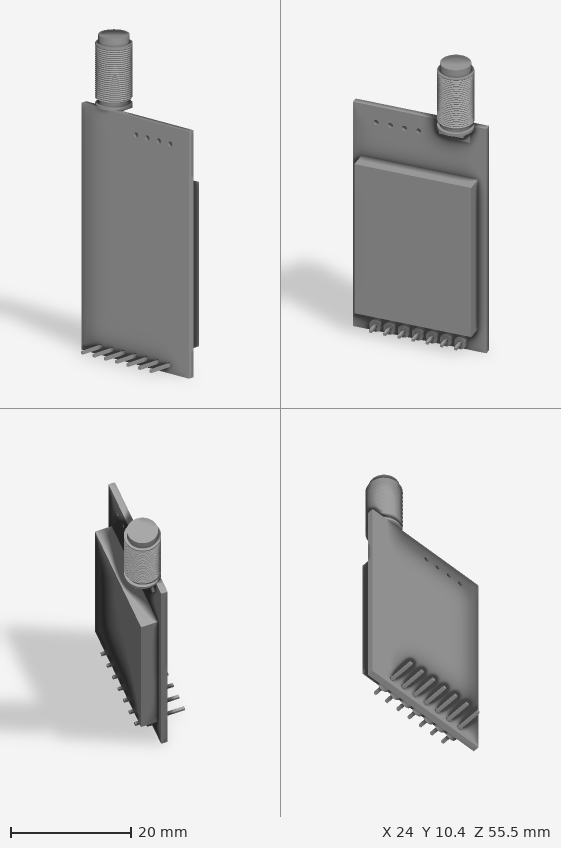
import cadquery as cq

BOARD_WIDTH = 24.0
BOARD_HEIGHT = 43.05
BOARD_THICKNESS = 1.15

SHIELD_WIDTH = 21.0
SHIELD_HEIGHT = 28.65
SHIELD_DEPTH = 3.0
SHIELD_BOTTOM = 4.4

PIN_COUNT = 7
PIN_SPAN = 15.25
PIN_PITCH = PIN_SPAN / (PIN_COUNT - 1)
PIN_SIDE = 0.5
PIN_LENGTH = 8.9
PIN_BACK = SHIELD_DEPTH
PIN_Z = 1.5
HOLE_DIAMETER = 0.9

COLLAR_DIAMETER = 2.15
COLLAR_FLAT_HEIGHT = 1.0
COLLAR_DEPTH = 1.05

TOP_HOLE_COUNT = 4
TOP_HOLE_CENTRE_X = 16.0
TOP_HOLE_Z = 40.0

CONNECTOR_X = 4.95
CONNECTOR_Y = 1.4
CONNECTOR_TOP = 55.5
CORE_DIAMETER = 5.2
FLANGE_DIAMETER = 6.2
FLANGE_THICKNESS = 0.5

THREAD_DIAMETER = FLANGE_DIAMETER
THREAD_ROOT_DIAMETER = 5.9
TIP_LENGTH = 1.45
THREAD_TOP = CONNECTOR_TOP - TIP_LENGTH
THREAD_LENGTH = 9.55
THREAD_BOTTOM = THREAD_TOP - THREAD_LENGTH
THREAD_TURNS = 27
THREAD_PITCH = THREAD_LENGTH / THREAD_TURNS
GROOVE_OVERRUN = 0.3
GROOVE_BOTTOM = THREAD_BOTTOM - GROOVE_OVERRUN

GROOVE_MOUTH_CLEARANCE = 0.03
GROOVE_MOUTH_RADIUS = THREAD_DIAMETER / 2 + GROOVE_MOUTH_CLEARANCE
GROOVE_MOUTH_HALF = 0.17
GROOVE_PROFILE = [
    (THREAD_ROOT_DIAMETER / 2, 0),
    (GROOVE_MOUTH_RADIUS, GROOVE_MOUTH_HALF),
    (GROOVE_MOUTH_RADIUS, -GROOVE_MOUTH_HALF),
]

BRACKET_WIDTH = 4.35
BRACKET_THICKNESS = 0.5
BRACKET_REACH = 3.55
BRACKET_HEIGHT = 3.0


def row_positions(count, centre, pitch):
    """X positions of a row of equally spaced features."""
    return [centre + (i - (count - 1) / 2) * pitch for i in range(count)]


PIN_XS = row_positions(PIN_COUNT, BOARD_WIDTH / 2, PIN_PITCH)
TOP_HOLE_XS = row_positions(TOP_HOLE_COUNT, TOP_HOLE_CENTRE_X, PIN_PITCH)


def block(width, depth, height, x, y, z):
    """Box whose lowest X, Y and Z corner is at (x, y, z)."""
    return cq.Workplane("XY").box(width, depth, height, centered=False).translate((x, y, z))


def rod_along_y(diameter, x, z, y_start, length):
    """Cylinder running in +Y from y_start."""
    return cq.Workplane("XZ", origin=(x, y_start, z)).circle(diameter / 2).extrude(-length)


def disc(diameter, bottom, top):
    """Cylinder on the connector axis."""
    start = cq.Workplane("XY", origin=(CONNECTOR_X, CONNECTOR_Y, bottom))
    return start.circle(diameter / 2).extrude(top - bottom)


def make_board():
    return block(BOARD_WIDTH, BOARD_THICKNESS, BOARD_HEIGHT, 0, -BOARD_THICKNESS, 0)


def make_shield():
    left = (BOARD_WIDTH - SHIELD_WIDTH) / 2
    return block(SHIELD_WIDTH, SHIELD_DEPTH, SHIELD_HEIGHT, left, 0, SHIELD_BOTTOM)


def make_collar(x):
    """Round collar with a flat on each side in X."""
    width = (COLLAR_DIAMETER**2 - COLLAR_FLAT_HEIGHT**2) ** 0.5
    envelope = block(
        width, COLLAR_DEPTH, COLLAR_DIAMETER, x - width / 2, 0, PIN_Z - COLLAR_DIAMETER / 2
    )
    return rod_along_y(COLLAR_DIAMETER, x, PIN_Z, 0, COLLAR_DEPTH).intersect(envelope)


def make_bracket():
    left = CONNECTOR_X - BRACKET_WIDTH / 2
    shelf = block(
        BRACKET_WIDTH, BRACKET_REACH, BRACKET_THICKNESS, left, 0, BOARD_HEIGHT - BRACKET_THICKNESS
    )
    leg = block(
        BRACKET_WIDTH, BRACKET_THICKNESS, BRACKET_HEIGHT, left, 0, BOARD_HEIGHT - BRACKET_HEIGHT
    )
    return shelf.union(leg)


def make_groove_turn(index):
    """Faces of one turn of the left-handed V cutter, as ruled strips between helices."""
    faces = []
    for start, end in zip(GROOVE_PROFILE, GROOVE_PROFILE[1:] + GROOVE_PROFILE[:1]):
        edges = []
        for radius, height in (start, end):
            centre = cq.Vector(0, 0, height + index * THREAD_PITCH)
            helix = cq.Wire.makeHelix(THREAD_PITCH, THREAD_PITCH, radius, centre, lefthand=True)
            edges.append(helix.Edges()[0])
        faces.append(cq.Face.makeRuledSurface(*edges))
    return faces


def make_groove_end(height):
    """Flat radial face that closes the cutter."""
    corners = [cq.Vector(radius, 0, z + height) for radius, z in GROOVE_PROFILE]
    return cq.Face.makeFromWires(cq.Wire.makePolygon(corners, close=True))


def make_thread_groove():
    """Helical cutter, its first turn starting at Z = 0 on the +X side."""
    faces = [make_groove_end(0), make_groove_end(THREAD_TURNS * THREAD_PITCH)]
    for index in range(THREAD_TURNS):
        faces += make_groove_turn(index)
    cutter = cq.Solid.makeSolid(cq.Shell.makeShell(faces))
    return cq.Workplane(cutter).translate((CONNECTOR_X, CONNECTOR_Y, GROOVE_BOTTOM))


def make_connector():
    flange = disc(FLANGE_DIAMETER, BOARD_HEIGHT, BOARD_HEIGHT + FLANGE_THICKNESS)
    core = disc(CORE_DIAMETER, BOARD_HEIGHT, CONNECTOR_TOP)
    sleeve = disc(THREAD_DIAMETER, THREAD_BOTTOM, THREAD_TOP).cut(make_thread_groove())
    return sleeve.union(core).union(flange)


def make_module():
    """Board with everything fixed to it, and its holes."""
    module = make_board().union(make_shield()).union(make_bracket())
    for x in PIN_XS:
        module = module.union(make_collar(x))
    module = module.union(make_connector())

    hole_depth = BOARD_THICKNESS + COLLAR_DEPTH
    for x in PIN_XS:
        module = module.cut(rod_along_y(HOLE_DIAMETER, x, PIN_Z, -BOARD_THICKNESS, hole_depth))
    for x in TOP_HOLE_XS:
        module = module.cut(
            rod_along_y(HOLE_DIAMETER, x, TOP_HOLE_Z, -BOARD_THICKNESS, BOARD_THICKNESS)
        )
    return module


def make_pin(x):
    """Square pin standing clear of the walls of its hole."""
    corner = (x - PIN_SIDE / 2, PIN_BACK - PIN_LENGTH, PIN_Z - PIN_SIDE / 2)
    return block(PIN_SIDE, PIN_LENGTH, PIN_SIDE, *corner)


module = make_module()
pins = [make_pin(x) for x in PIN_XS]

result = cq.Compound.makeCompound([module.val(), *[pin.val() for pin in pins]])